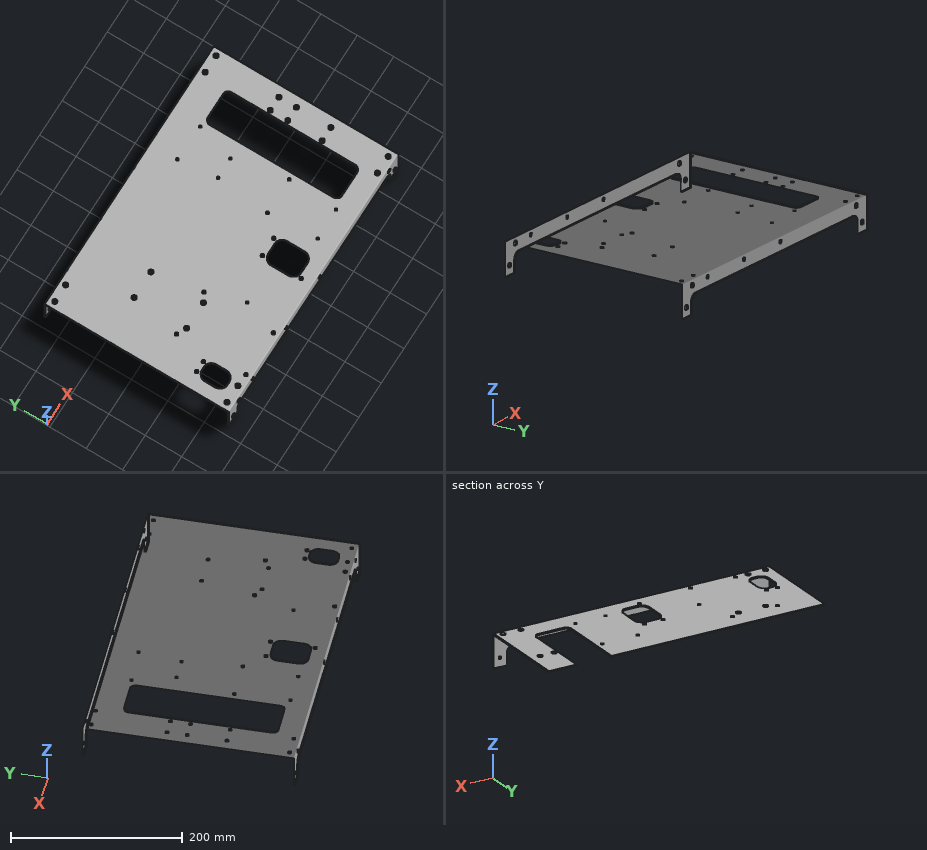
import cadquery as cq

length = 375.0
width = 254.0
height = 45.0
thickness = 2.0
bend_radius = 2.0
inner_bend_radius = 0.2

leg_width = 18.0
band_bottom = 25.0
leg_corner_radius = 10.0
flange_hole_diameter = 4.5
flange_hole_z = 37.0
flange_hole_xs = [-135.5, -61.5, 12.5]

screw_diameter = 3.4
countersink_diameter = 6.5
countersink_half_angle = 45
countersink_depth = (countersink_diameter - screw_diameter) / 2
corner_outer_x = 178.5
corner_inner_x = 154.5
corner_y = 118.0
leg_screw_z = 12.0
band_screw_x = 166.5
band_screw_z = 36.0
side_row_xs = [corner_inner_x, 173.5]
side_row_ys = [29.0, 5.0, -42.5]
bracket_xs = [-125.5, -88.5]
bracket_ys = [42.0, -30.0]

board_hole_diameter = 4.0
board_xs = [-137.5, -77.0]
board_ys = [-23.5, -119.0]
socket_hole_diameter = 4.0
socket_holes = [(-164.5, -68.0), (-150.0, -68.2), (-2.5, -57.8), (22.5, -57.8), (-2.5, -111.0)]
module_hole_diameter = 3.5
module_holes = [(45.5, -35.0), (93.8, -35.0)]
pilot_diameter = 3.0
pilot_holes = [
    (-61.0, -73.0),
    (46.0, 89.2),
    (94.5, 87.8),
    (51.8, 36.8),
    (79.5, 37.0),
    (49.0, -101.5),
    (90.8, -101.0),
]

oval_window = (-157.5, -89.5, 24.5, 35.0, 10.0)
square_window = (10.0, -84.8, 35.0, 45.0, 10.0)
long_window = (126.0, -5.5, 47.2, 183.8, 6.8)


def folded_sheet():
    """Upside-down channel running along X, with rounded folds."""
    outer = (
        cq.Workplane("XY")
        .box(length, width, height, centered=(True, True, False))
        .edges("|X and >Z")
        .fillet(bend_radius)
    )
    inner = (
        cq.Workplane("XY")
        .box(length, width - 2 * thickness, height - thickness, centered=(True, True, False))
        .edges("|X and >Z")
        .fillet(inner_bend_radius)
    )
    return outer.cut(inner)


def flange_opening():
    """Cutter that leaves only the legs below the band on both flanges."""
    return (
        cq.Workplane("XY")
        .box(length - 2 * leg_width, width, band_bottom, centered=(True, True, False))
        .edges("|Y and >Z")
        .fillet(leg_corner_radius)
    )


def window(center_x, center_y, size_x, size_y, radius):
    """Rounded rectangular cutter through the plate."""
    return (
        cq.Workplane("XY", origin=(center_x, center_y, height - thickness))
        .rect(size_x, size_y)
        .extrude(thickness)
        .edges("|Z")
        .fillet(radius)
    )


def grid(xs, ys):
    return [(x, y) for x in xs for y in ys]


def plate_face():
    return cq.Workplane("XY", origin=(0, 0, height))


def drill_plate(body, diameter, centers):
    cutter = plate_face().pushPoints(centers).circle(diameter / 2).extrude(-thickness)
    return body.cut(cutter)


def countersink(body, face, centers):
    """Sink screw holes into a sheet from the given face, whose normal points out of the metal."""
    shank = face.pushPoints(centers).circle(screw_diameter / 2).extrude(-thickness)
    cone = (
        face.pushPoints(centers)
        .circle(countersink_diameter / 2)
        .extrude(-countersink_depth, taper=countersink_half_angle)
    )
    return body.cut(shank).cut(cone)


result = folded_sheet().cut(flange_opening())

for opening in (oval_window, square_window, long_window):
    result = result.cut(window(*opening))

result = drill_plate(result, board_hole_diameter, grid(board_xs, board_ys))
result = drill_plate(result, socket_hole_diameter, socket_holes)
result = drill_plate(result, module_hole_diameter, module_holes)
result = drill_plate(result, pilot_diameter, pilot_holes)

corner_xs = [-corner_outer_x, -corner_inner_x, corner_inner_x, corner_outer_x]
plate_screws = (
    grid(corner_xs, [-corner_y, corner_y])
    + grid(side_row_xs, side_row_ys)
    + grid(bracket_xs, bracket_ys)
)
result = countersink(result, plate_face(), plate_screws)

flange_holes = (
    cq.Workplane("XZ", origin=(0, width / 2, 0))
    .pushPoints([(x, flange_hole_z) for x in flange_hole_xs])
    .circle(flange_hole_diameter / 2)
    .extrude(width)
)
result = result.cut(flange_holes)

flange_screws = grid([-corner_outer_x, corner_outer_x], [leg_screw_z])
flange_screws += grid([-band_screw_x, band_screw_x], [band_screw_z])

for sunk_side_y in (-width / 2, width / 2 - thickness):
    flange_face = cq.Workplane("XZ", origin=(0, sunk_side_y, 0))
    result = countersink(result, flange_face, flange_screws)